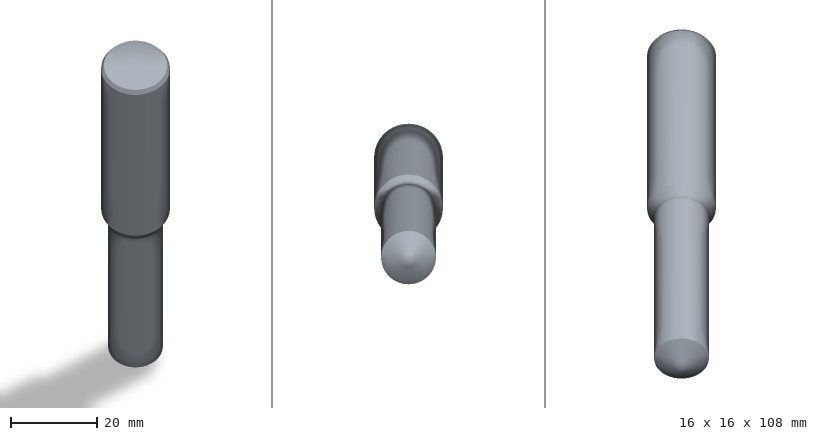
import cadquery as cq
import math

overall_length = 108.0
shank_radius = 8.0
drill_radius = 6.4
point_angle = 118.0
taper_angle = 30.0
cutting_length = 51.0
neck_length = 1.0
end_chamfer_height = 1.1
end_chamfer_width = 0.6

point_height = drill_radius / math.tan(math.radians(point_angle / 2))
neck_top = cutting_length + neck_length
shoulder_height = (shank_radius - drill_radius) / math.tan(math.radians(taper_angle))
shoulder_top = neck_top + shoulder_height


def revolve_profile(points):
    """Turn a closed (radius, height) outline around the Z axis."""
    return cq.Workplane("XZ").polyline(points).close().revolve(360, (0, 0, 0), (0, 1, 0))


def make_cutting_part():
    """Cylinder with a conical drill point."""
    return revolve_profile([
        (0, 0),
        (drill_radius, point_height),
        (drill_radius, cutting_length),
        (0, cutting_length),
    ])


def make_shank():
    """Neck, tapered shoulder and clamping cylinder with a chamfered end."""
    return revolve_profile([
        (0, cutting_length),
        (drill_radius, cutting_length),
        (drill_radius, neck_top),
        (shank_radius, shoulder_top),
        (shank_radius, overall_length - end_chamfer_height),
        (shank_radius - end_chamfer_width, overall_length),
        (0, overall_length),
    ])


cutting_part = make_cutting_part()
shank = make_shank()

result = cq.Compound.makeCompound([cutting_part.val(), shank.val()])